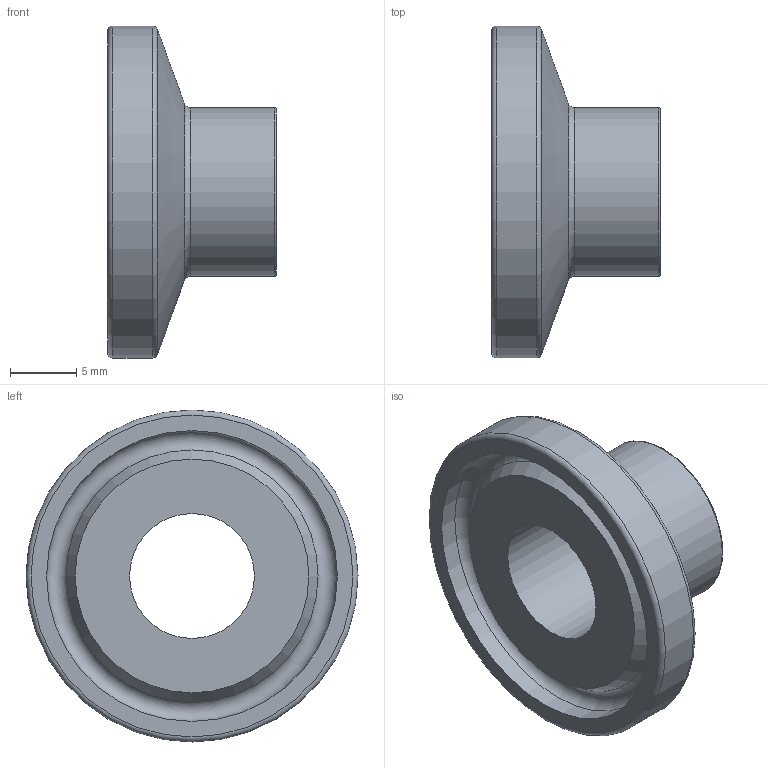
import cadquery as cq
import math

LENGTH = 12.7
FLANGE_RADIUS = 24.99 / 2
TUBE_RADIUS = 12.7 / 2
BORE_RADIUS = 9.4 / 2

RIM_WIDTH = 3.65
RIM_FILLET = 0.38
BACK_ANGLE = math.radians(20)
NECK_FILLET = 0.5
TUBE_END_FILLET = 0.12

SEAT_RECESS = 0.79

GROOVE_OUTER_RADIUS = 21.89 / 2
GROOVE_WALL_DEPTH = 1.4
GROOVE_ARC_RADIUS = 0.794
GROOVE_FLANK_ANGLE = math.radians(33.5)


def revolve_about_axis(profile):
    """Turn a profile, drawn with X along the axis and Y as the radius, about the X axis."""
    return profile.revolve(360, (0, 0, 0), (1, 0, 0))


def make_body():
    """Solid flange, tapered back and tube, with every corner rounded."""
    neck_x = RIM_WIDTH + (FLANGE_RADIUS - TUBE_RADIUS) * math.tan(BACK_ANGLE)
    section = cq.Sketch().polygon([
        (0, 0),
        (0, FLANGE_RADIUS),
        (RIM_WIDTH, FLANGE_RADIUS),
        (neck_x, TUBE_RADIUS),
        (LENGTH, TUBE_RADIUS),
        (LENGTH, 0),
        (0, 0),
    ])
    rounded_corners = [
        (0, FLANGE_RADIUS, RIM_FILLET),
        (RIM_WIDTH, FLANGE_RADIUS, RIM_FILLET),
        (neck_x, TUBE_RADIUS, NECK_FILLET),
        (LENGTH, TUBE_RADIUS, TUBE_END_FILLET),
    ]
    for x, radius, fillet in rounded_corners:
        corner = cq.NearestToPointSelector((x, radius, 0))
        section = section.vertices(corner).fillet(fillet).reset()
    return revolve_about_axis(cq.Workplane("XY").placeSketch(section))


def groove_bottom_point(angle):
    """Point on the rounded groove bottom; angle 0 touches the outer wall."""
    center_radius = GROOVE_OUTER_RADIUS - GROOVE_ARC_RADIUS
    return (
        GROOVE_WALL_DEPTH + GROOVE_ARC_RADIUS * math.sin(angle),
        center_radius + GROOVE_ARC_RADIUS * math.cos(angle),
    )


def make_face_cut():
    """Material removed from the face: recessed seat and gasket groove."""
    arc_sweep = math.pi - GROOVE_FLANK_ANGLE
    flank_x, flank_radius = groove_bottom_point(arc_sweep)
    seat_radius = flank_radius - (flank_x - SEAT_RECESS) * math.tan(GROOVE_FLANK_ANGLE)
    profile = (
        cq.Workplane("XY")
        .moveTo(0, 0)
        .lineTo(0, GROOVE_OUTER_RADIUS)
        .lineTo(GROOVE_WALL_DEPTH, GROOVE_OUTER_RADIUS)
        .threePointArc(groove_bottom_point(arc_sweep / 2), (flank_x, flank_radius))
        .lineTo(SEAT_RECESS, seat_radius)
        .lineTo(SEAT_RECESS, 0)
        .close()
    )
    return revolve_about_axis(profile)


def make_bore():
    """Through hole along the axis."""
    return cq.Workplane("YZ").circle(BORE_RADIUS).extrude(LENGTH)


result = make_body().cut(make_face_cut()).cut(make_bore())